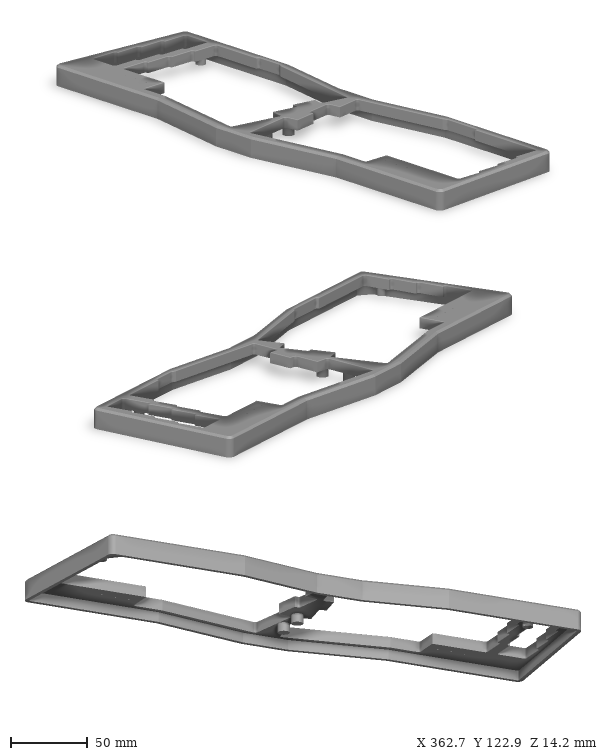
import cadquery as cq
import math


length_x = 362.66
width_y = 122.91
height = 14.24
cavity_depth = 6.74
wall_thickness = 3.0

bend_tilt = math.radians(10.0)
bend_slope = math.tan(bend_tilt)
side_lean = math.radians(5.0)
inner_bend_x = 16.5
front_bend_x = 84.0
back_bend_x = 74.3
corner_radius = 4.0
top_chamfer = 1.5

key_pitch = 19.05
key_clearance = 0.85
row_stagger = key_pitch / 8
side_rows = 4
main_rows = 5
key_field_back_y = 53.75
strip_key_left_x = -164.05
main_key_left_x = -135.65
right_keys_end_x = -strip_key_left_x

opening_back_y = key_field_back_y + key_clearance
pad_back_y = key_field_back_y - side_rows * key_pitch - key_clearance
opening_front_y = key_field_back_y - main_rows * key_pitch - key_clearance
pad_inner_x = 104.3
raised_back_y = 56.4
left_raise_x = 98.3
right_raise_x = 107.0
ramp_start_x = 79.0
ramp_end_x = 76.0
opening_corner_radius = 1.5
opening_edge_radius = 0.5

web_front_half_width = 8.6
web_front_y = -55.5
left_web_steps = [(7.2, 1), (15.0, 1), (10.0, 1), (0.0, 2)]
right_web_steps = [(16.7, 1), (6.7, 1), (10.2, 1), (0.0, 2)]

indicator_diameter = 1.0
indicator_first_x = 112.5
indicator_spacing = 9.85
indicator_y = -32.2
indicator_count = 3

bosses = [
    (0.0, -11.6, 0.8, 8.0),
    (0.0, -31.6, 0.8, 8.0),
    (-140.3, 44.5, 2.5, 7.0),
    (169.7, 44.2, 0.8, 6.0),
]

gusset_corner_x = 171.9
gusset_leg = 9.5


def rounded_outline(points, radius):
    """Closed counterclockwise outline with its sharp outward corners rounded."""
    sharp_turn = math.radians(45)
    path = []
    for i, (x, y) in enumerate(points):
        before = points[i - 1]
        after = points[(i + 1) % len(points)]
        heading_in = math.atan2(y - before[1], x - before[0])
        heading_out = math.atan2(after[1] - y, after[0] - x)
        turn = math.remainder(heading_out - heading_in, 2 * math.pi)
        if turn < sharp_turn:
            path.append([(x, y)])
            continue
        setback = radius * math.tan(turn / 2)
        arc_depth = radius / math.cos(turn / 2) - radius
        inward = heading_in + (turn + math.pi) / 2
        start = (x - setback * math.cos(heading_in), y - setback * math.sin(heading_in))
        middle = (x + arc_depth * math.cos(inward), y + arc_depth * math.sin(inward))
        end = (x + setback * math.cos(heading_out), y + setback * math.sin(heading_out))
        path.append([start, middle, end])

    outline = cq.Workplane("XY").moveTo(*path[0][-1])
    for corner in path[1:] + path[:1]:
        outline = outline.lineTo(*corner[0])
        if len(corner) > 1:
            outline = outline.threePointArc(corner[1], corner[2])
    return outline.close()


def mirrored(points):
    """Points reflected across the YZ plane, kept counterclockwise."""
    return [(-x, y) for x, y in reversed(points)]


def outer_outline():
    back_y = width_y / 2
    front_y = -width_y / 2
    side_front_y = front_y + (front_bend_x - inner_bend_x) * bend_slope
    centre_back_y = back_y - (back_bend_x - inner_bend_x) * bend_slope
    half_turn = (math.pi / 2 + side_lean) / 2
    front_corner_x = length_x / 2 - corner_radius + corner_radius * math.tan(half_turn)
    back_corner_x = front_corner_x - (back_y - side_front_y) * math.tan(side_lean)
    right_half = [
        (inner_bend_x, front_y),
        (front_bend_x, side_front_y),
        (front_corner_x, side_front_y),
        (back_corner_x, back_y),
        (back_bend_x, back_y),
        (inner_bend_x, centre_back_y),
    ]
    return rounded_outline(right_half + mirrored(right_half), corner_radius)


def left_row_edge(first_key_x):
    """Stepped edge left of the straight rows, from back to front."""
    points = []
    for row in range(side_rows):
        x = first_key_x - row * row_stagger - key_clearance
        row_back_y = opening_back_y - row * key_pitch
        is_last = row == side_rows - 1
        row_front_y = pad_back_y if is_last else row_back_y - key_pitch
        points += [(x, row_back_y), (x, row_front_y)]
    return points


def right_row_edge(first_key_x):
    """Stepped edge right of a single column of straight rows, from front to back."""
    points = []
    for row in reversed(range(side_rows)):
        x = first_key_x + key_pitch - row * row_stagger + key_clearance
        row_front_y = pad_back_y + (side_rows - 1 - row) * key_pitch
        row_back_y = opening_back_y if row == 0 else row_front_y + key_pitch
        points += [(x, row_front_y), (x, row_back_y)]
    return points


def web_edge(web_steps):
    """Stepped edge along the left of the centre web, from back to front."""
    tilted_length = main_rows * key_pitch + 2 * key_clearance

    def tilted_point(outward, from_back):
        from_front = tilted_length - from_back
        x = -web_front_half_width - outward * math.cos(bend_tilt) + from_front * math.sin(bend_tilt)
        y = web_front_y + outward * math.sin(bend_tilt) + from_front * math.cos(bend_tilt)
        return (x, y)

    points = []
    step_back = 0.0
    rows_done = 0
    for i, (outward, row_count) in enumerate(web_steps):
        rows_done += row_count
        step_front = rows_done * key_pitch + 2 * key_clearance
        next_reaches_further = i + 1 < len(web_steps) and web_steps[i + 1][0] < outward
        if next_reaches_further:
            step_front -= 2 * key_clearance
        points += [tilted_point(outward, step_back), tilted_point(outward, step_front)]
        step_back = step_front
    return points


def main_opening_points(first_key_x, raise_x, web_steps):
    """Opening to the left of the centre web."""
    web_points = web_edge(web_steps)
    back_tip_x, back_tip_y = web_points[0]
    ramp_end_y = back_tip_y + (back_tip_x + ramp_end_x) * bend_slope
    opening_bend_x = -web_front_half_width - (opening_front_y - web_front_y) / bend_slope
    pad_and_front = [
        (-pad_inner_x, pad_back_y),
        (-pad_inner_x, opening_front_y),
        (opening_bend_x, opening_front_y),
    ]
    raised_back = [
        (-ramp_end_x, ramp_end_y),
        (-ramp_start_x, raised_back_y),
        (-raise_x, raised_back_y),
        (-raise_x, opening_back_y),
    ]
    return left_row_edge(first_key_x) + pad_and_front + web_points[::-1] + raised_back


def make_cavity():
    """Hollow under the plate, cut short by the gusset at its back right corner."""
    back_y = width_y / 2 - wall_thickness
    outer_x = gusset_corner_x + gusset_leg
    gusset_points = [
        (gusset_corner_x - gusset_leg, back_y),
        (outer_x, back_y - 2 * gusset_leg),
        (outer_x, back_y),
    ]
    gusset = cq.Workplane("XY").polyline(gusset_points).close().extrude(cavity_depth)
    return outer_outline().offset2D(-wall_thickness).extrude(cavity_depth).cut(gusset)


def make_body():
    body = outer_outline().extrude(height)
    body = body.faces(">Z").edges().chamfer(top_chamfer)
    return body.cut(make_cavity())


def cut_openings(body):
    plate_depth = height - cavity_depth
    strip_points = left_row_edge(strip_key_left_x) + right_row_edge(strip_key_left_x)
    left_points = main_opening_points(main_key_left_x, left_raise_x, left_web_steps)
    right_points = mirrored(main_opening_points(-right_keys_end_x, right_raise_x, right_web_steps))
    for points in (strip_points, left_points, right_points):
        opening = rounded_outline(points, opening_corner_radius).extrude(plate_depth)
        body = body.cut(opening.translate((0, 0, cavity_depth)))
    return body


def round_opening_edges(body):
    """Round the plate's upper edge around every opening."""
    top_face = body.faces(">Z").val()
    edges = [edge for wire in top_face.innerWires() for edge in wire.Edges()]
    return body.newObject(edges).fillet(opening_edge_radius)


def add_bosses(body):
    for x, y, bottom_z, diameter in bosses:
        boss = cq.Workplane("XY", origin=(x, y, bottom_z)).circle(diameter / 2)
        body = body.union(boss.extrude(cavity_depth - bottom_z))
    return body


def drill_indicator_holes(body):
    right_holes = [
        (indicator_first_x + i * indicator_spacing, indicator_y) for i in range(indicator_count)
    ]
    holes = cq.Workplane("XY").pushPoints(right_holes + mirrored(right_holes))
    return body.cut(holes.circle(indicator_diameter / 2).extrude(height))


case = make_body()
case = cut_openings(case)
case = round_opening_edges(case)
case = add_bosses(case)
result = drill_indicator_holes(case)